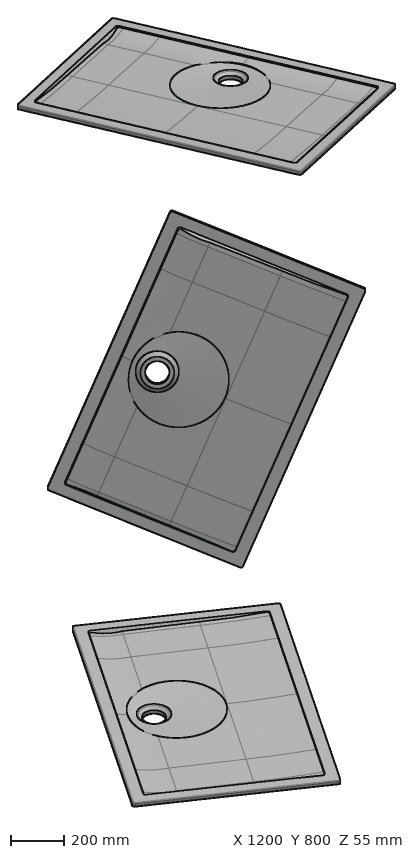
import cadquery as cq

tray_length = 1200.0
tray_width = 800.0
tray_height = 55.0
sheet = 18.0
rim_corner_radius = 10.0
rim_edge_radius = 4.0

basin_length = 1109.0
basin_width = 698.0
basin_corner_radius = 13.0
wall_taper = 35.0

front_lip_depth = 2.0
back_lip_depth = 4.0
front_crease_y = -78.0
back_crease_y = 218.0
side_front_depth = 12.0
side_back_depth = 14.0
middle_drop = 1.0
fall_start_x = 375.0
wall_foot_x = 528.0
wall_foot_rise = 2.0
front_bulge = 2.0
back_bulge = 6.0

drain_y = 202.0
drain_hole_radius = 45.0
drain_mouth_radius = 66.0
drain_throat_radius = 61.0
drain_mouth_depth = 24.0
drain_throat_depth = 28.0
drain_ledge_depth = tray_height - 17.0
drain_base_radius = 64.0
drain_shoulder_radius = 82.0

dip_y = 114.0
dip_radius = 190.0
dip_step = 0.6

clearance = 12.0


def floor_section(x, drop):
    """Closed YZ outline above the floor at one X, lowered by drop between the end lips."""
    y_end = basin_width / 2
    front_depth = side_front_depth + drop
    back_depth = side_back_depth + drop
    front_middle_depth = (front_lip_depth + front_depth) / 2 + front_bulge
    back_middle_depth = (back_lip_depth + back_depth) / 2 + back_bulge
    return (
        cq.Workplane("YZ", origin=(x, 0, 0))
        .moveTo(-y_end, clearance)
        .lineTo(-y_end, -front_lip_depth)
        .threePointArc(
            ((front_crease_y - y_end) / 2, -front_middle_depth),
            (front_crease_y, -front_depth),
        )
        .lineTo(back_crease_y, -back_depth)
        .threePointArc(((back_crease_y + y_end) / 2, -back_middle_depth), (y_end, -back_lip_depth))
        .lineTo(y_end, clearance)
        .close()
        .val()
    )


def floor_space():
    """Space above the floor, which falls to a valley along X = 0 and turns up at the side walls."""
    x_end = basin_length / 2
    sections = [
        floor_section(-x_end, -wall_foot_rise),
        floor_section(-wall_foot_x, 0),
        floor_section(-fall_start_x, 0),
        floor_section(0, middle_drop),
        floor_section(fall_start_x, 0),
        floor_section(wall_foot_x, 0),
        floor_section(x_end, -wall_foot_rise),
    ]
    return cq.Workplane(cq.Solid.makeLoft(sections, True))


def wall_space():
    """Space between the tapered basin walls."""
    return (
        cq.Workplane("XY")
        .rect(basin_length, basin_width)
        .extrude(-tray_height, taper=wall_taper)
        .edges("not(|X or |Y)")
        .fillet(basin_corner_radius)
    )


def dip_space():
    """Skewed cone from the wide circle, tilted with the floor, to the level drain mouth.

    A short cylinder on the circle opens the cone through the floor.
    """
    floor_slope = (side_back_depth - side_front_depth) / (back_crease_y - front_crease_y)
    dip_depth = side_front_depth + middle_drop + dip_step + floor_slope * (dip_y - front_crease_y)
    wide_plane = cq.Plane((0, dip_y, -dip_depth), (0, -1, floor_slope), (0, floor_slope, 1))
    mouth_plane = cq.Plane((0, drain_y, -drain_mouth_depth), (0, -1, 0), (0, 0, 1))
    wide = cq.Workplane(wide_plane).circle(dip_radius).wires().val()
    mouth = cq.Workplane(mouth_plane).circle(drain_mouth_radius).wires().val()
    cone = cq.Workplane(cq.Solid.makeLoft([wide, mouth], True))
    return cone.union(cq.Workplane(wide_plane).circle(dip_radius).extrude(side_front_depth / 2))


def turned(points):
    """Solid of revolution about the drain axis from (radius, depth) points."""
    return (
        cq.Workplane("XZ", origin=(0, drain_y, 0))
        .polyline([(radius, -depth) for radius, depth in points])
        .close()
        .revolve(360, (0, 0), (0, 1))
    )


def rim_plate():
    return (
        cq.Workplane("XY")
        .rect(tray_length, tray_width)
        .extrude(-sheet)
        .edges("|Z")
        .fillet(rim_corner_radius)
        .faces(">Z")
        .edges()
        .fillet(rim_edge_radius)
    )


def drain_opening():
    return turned([
        (0, 0),
        (drain_mouth_radius, 0),
        (drain_mouth_radius, drain_mouth_depth),
        (drain_throat_radius, drain_throat_depth),
        (drain_hole_radius, drain_ledge_depth),
        (drain_hole_radius, tray_height + clearance),
        (0, tray_height + clearance),
    ])


def drain_collar():
    shoulder_depth = drain_mouth_depth + sheet
    return turned([
        (0, sheet),
        (drain_shoulder_radius, sheet),
        (drain_shoulder_radius, shoulder_depth),
        (drain_base_radius, tray_height),
        (0, tray_height),
    ])


basin = floor_space().intersect(wall_space())
dip = dip_space()
below = (0, 0, -sheet)

result = (
    rim_plate()
    .union(basin.translate(below))
    .union(dip.translate(below))
    .union(drain_collar())
    .cut(basin)
    .cut(dip)
    .cut(drain_opening())
)